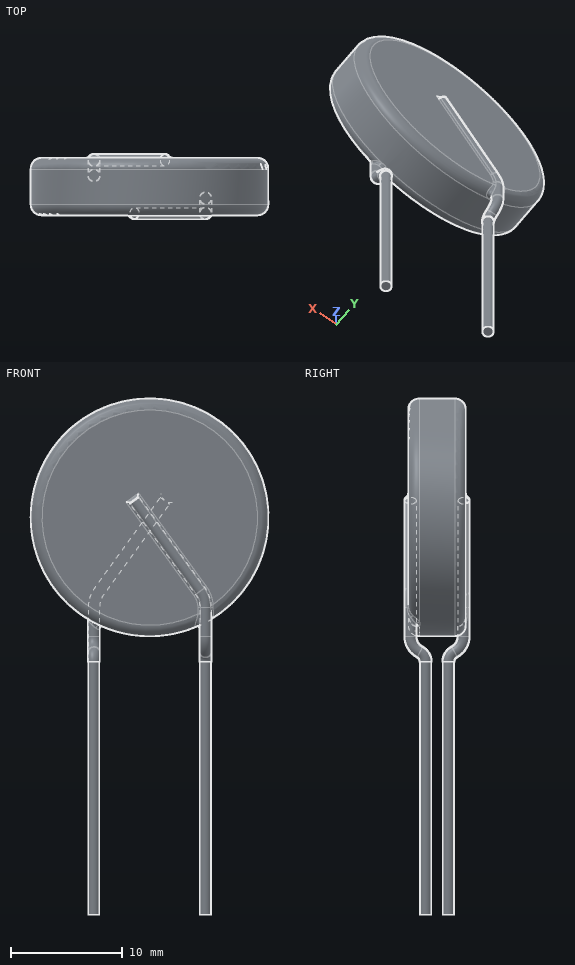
import cadquery as cq
import math

TOTAL_HEIGHT = 46.4
DISC_DIAMETER = 21.4
DISC_THICKNESS = 5.2
DISC_EDGE_RADIUS = 1.0

LEAD_DIAMETER = 1.0
LEAD_X = 5.0
LEG_Y = 1.0
UPPER_CRANK_RADIUS = 1.6
LOWER_CRANK_RADIUS = 1.0
KNEE_RADIUS = 2.5
KNEE_ANGLE = 36.0
KNEE_START_Z = -8.07

SLEEVE_DIAMETER = 1.1
SLEEVE_PROUD = 0.35
SLEEVE_END_X = -1.4
BLEND_RADIUS = 0.3
FACE_TOLERANCE = 0.005

DISC_RADIUS = DISC_DIAMETER / 2
DISC_FACE_Y = -DISC_THICKNESS / 2
DISC_BOTTOM_Z = -DISC_RADIUS
LEG_END_Z = DISC_RADIUS - TOTAL_HEIGHT
RUN_Y = DISC_THICKNESS / 2 + SLEEVE_PROUD - SLEEVE_DIAMETER / 2
SLEEVE_WALL = (SLEEVE_DIAMETER - LEAD_DIAMETER) / 2

CRANK_RADII = UPPER_CRANK_RADIUS + LOWER_CRANK_RADIUS
CRANK_ANGLE = math.acos(1 - (RUN_Y - LEG_Y) / CRANK_RADII)
CRANK_END_Z = DISC_BOTTOM_Z - CRANK_RADII * math.sin(CRANK_ANGLE)


def arc_travel(angle, radius):
    """Sideways and lengthwise travel along an arc that starts straight ahead."""
    return radius * (1 - math.cos(angle)), radius * math.sin(angle)


def sweep_round(path, start, diameter):
    """Sweep a round section along a path that sets off straight up from start."""
    return cq.Workplane("XY", origin=start).circle(diameter / 2).sweep(path)


def crank_rod(diameter):
    """S-bend from the top of the front leg out to the disc face."""
    lower_mid_y, lower_mid_z = arc_travel(CRANK_ANGLE / 2, LOWER_CRANK_RADIUS)
    lower_end_y, lower_end_z = arc_travel(CRANK_ANGLE, LOWER_CRANK_RADIUS)
    upper_mid_y, upper_mid_z = arc_travel(CRANK_ANGLE / 2, UPPER_CRANK_RADIUS)
    path = (
        cq.Workplane("YZ", origin=(LEAD_X, 0, 0))
        .moveTo(-LEG_Y, CRANK_END_Z)
        .threePointArc(
            (-LEG_Y - lower_mid_y, CRANK_END_Z + lower_mid_z),
            (-LEG_Y - lower_end_y, CRANK_END_Z + lower_end_z),
        )
        .threePointArc((-RUN_Y + upper_mid_y, DISC_BOTTOM_Z - upper_mid_z), (-RUN_Y, DISC_BOTTOM_Z))
    )
    return sweep_round(path, (LEAD_X, -LEG_Y, CRANK_END_Z), diameter)


def face_rod(diameter, end_gap):
    """Upright, knee and slanted run along the front face, stopping end_gap short of the sleeve end."""
    slant = math.radians(KNEE_ANGLE)
    mid_x, mid_z = arc_travel(slant / 2, KNEE_RADIUS)
    end_x, end_z = arc_travel(slant, KNEE_RADIUS)
    slant_x = LEAD_X - end_x
    slant_z = KNEE_START_Z + end_z
    top_x = SLEEVE_END_X + end_gap * math.sin(slant)
    top_z = slant_z + (slant_x - top_x) / math.tan(slant)
    path = (
        cq.Workplane("XZ", origin=(0, -RUN_Y, 0))
        .moveTo(LEAD_X, DISC_BOTTOM_Z)
        .lineTo(LEAD_X, KNEE_START_Z)
        .threePointArc((LEAD_X - mid_x, KNEE_START_Z + mid_z), (slant_x, slant_z))
        .lineTo(top_x, top_z)
    )
    return sweep_round(path, (LEAD_X, -RUN_Y, DISC_BOTTOM_Z), diameter)


def half_turn(shape):
    """Copy turned half a revolution about Z, onto the opposite face."""
    return shape.rotate((0, 0, 0), (0, 0, 1), 180)


def make_lead():
    """Front lead: bare straight leg, then the S-bend and face run inside the coating."""
    leg = (
        cq.Workplane("XY", origin=(LEAD_X, -LEG_Y, LEG_END_Z))
        .circle(LEAD_DIAMETER / 2)
        .extrude(CRANK_END_Z - LEG_END_Z)
    )
    return leg.union(crank_rod(LEAD_DIAMETER)).union(face_rod(LEAD_DIAMETER, SLEEVE_WALL))


def make_disc():
    """Plain disc with both rims rounded."""
    return (
        cq.Workplane("XZ")
        .circle(DISC_RADIUS)
        .extrude(DISC_THICKNESS / 2, both=True)
        .faces("<Y or >Y")
        .edges()
        .fillet(DISC_EDGE_RADIUS)
    )


def add_sleeve(disc):
    """Cover the front lead and blend the foot of the cover into the front face."""
    face_slab = cq.selectors.BoxSelector(
        (-DISC_RADIUS, DISC_FACE_Y - FACE_TOLERANCE, -DISC_RADIUS),
        (DISC_RADIUS, DISC_FACE_Y + FACE_TOLERANCE, DISC_RADIUS),
    )
    ridged = disc.union(face_rod(SLEEVE_DIAMETER, 0))
    blended = ridged.edges("%LINE").edges(face_slab).fillet(BLEND_RADIUS)
    return blended.union(crank_rod(SLEEVE_DIAMETER))


def make_coating(leads):
    """Coated disc with a sleeve on each face, hollowed where the leads run."""
    coating = add_sleeve(make_disc())
    coating = add_sleeve(half_turn(coating))
    for lead in leads:
        coating = coating.cut(lead)
    return coating


front_lead = make_lead()
leads = [front_lead, half_turn(front_lead)]
coating = make_coating(leads)

result = cq.Compound.makeCompound(
    [*coating.solids().vals(), *[lead.solids().val() for lead in leads]]
)